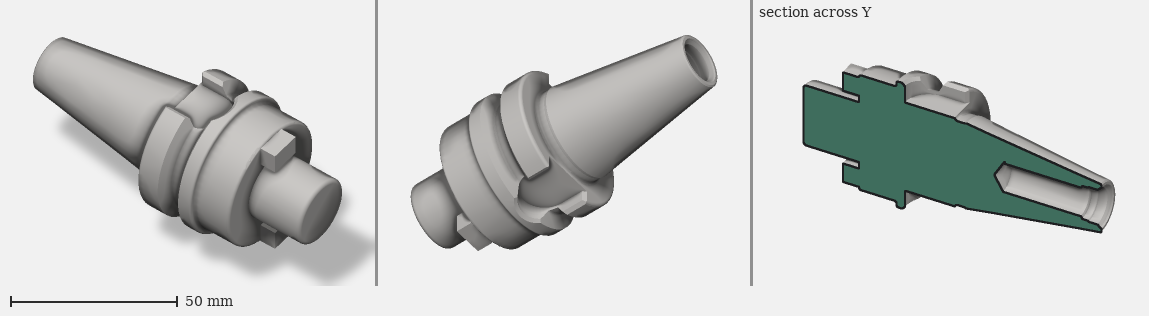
import cadquery as cq
import math

total_length = 102.4
gauge_x = 48.4
taper_end_x = 46.5
neck_start_x = 47.4
flange_front_x = 50.4
flange_back_x = 70.5
body_end_x = 83.4
key_end_x = 88.8

gauge_radius = 15.9
neck_radius = 15.4
flange_radius = 46.0 / 2
groove_radius = 18.9
body_radius = 21.0
pilot_radius = 22.0 / 2
taper_ratio = 7 / 24

groove_rim_front_x = 58.2
groove_rim_back_x = 65.8
groove_half_angle = math.radians(30)

tip_chamfer = 0.4
neck_fillet = 0.9
flange_front_fillet = 1.0
flange_back_fillet = 0.6
groove_fillet = 0.6
step_fillet = 0.8
body_fillet = 0.9
pilot_fillet = 1.2

slot_width = 16.3
slot_floor_z = 32.3 / 2
slot_tip_x = 67.5
slot_front_chamfer = 1.0
slot_rim_drop = 1.3
slot_rim_spread = 1.3
slot_tip_chamfer = 1.0
edge_tolerance = 0.1

key_width = 10.2
key_inner_z = 26.3 / 2
key_outer_z = 40.0 / 2

mouth_radius = 7.5
centre_radius = 7.2
centre_half_angle = math.radians(30)
bore_entry_radius = 6.2
bore_entry_end_x = 4.4
relief_radius = 5.9
relief_end_x = 6.7
thread_radius = 5.1
thread_end_x = 33.8
drill_half_angle = math.radians(59)


def taper_radius(x):
    return gauge_radius - (gauge_x - x) * taper_ratio / 2


def turned_body():
    """Taper, grooved flange, body and pilot as one solid of revolution about X."""
    groove_flank = (flange_radius - groove_radius) * math.tan(groove_half_angle)
    groove_front_x = groove_rim_front_x + groove_flank
    groove_back_x = groove_rim_back_x - groove_flank
    profile = [
        (0, 0),
        (0, taper_radius(0) - tip_chamfer),
        (tip_chamfer, taper_radius(tip_chamfer)),
        (taper_end_x, taper_radius(taper_end_x)),
        (neck_start_x, neck_radius),
        (flange_front_x, neck_radius),
        (flange_front_x, flange_radius),
        (groove_rim_front_x, flange_radius),
        (groove_front_x, groove_radius),
        (groove_back_x, groove_radius),
        (groove_rim_back_x, flange_radius),
        (flange_back_x, flange_radius),
        (flange_back_x, body_radius),
        (body_end_x, body_radius),
        (body_end_x, pilot_radius),
        (total_length, pilot_radius),
        (total_length, 0),
    ]
    rounded_corners = [
        (flange_front_x, neck_radius, neck_fillet),
        (flange_front_x, flange_radius, flange_front_fillet),
        (groove_front_x, groove_radius, groove_fillet),
        (groove_back_x, groove_radius, groove_fillet),
        (flange_back_x, flange_radius, flange_back_fillet),
        (flange_back_x, body_radius, step_fillet),
        (body_end_x, body_radius, body_fillet),
        (total_length, pilot_radius, pilot_fillet),
    ]
    outline = cq.Wire.makePolygon([cq.Vector(*point) for point in profile], close=True)
    face = cq.Face.makeFromWires(outline)
    for x, radius, fillet in rounded_corners:
        corner = min(face.Vertices(), key=lambda vertex: math.hypot(vertex.X - x, vertex.Y - radius))
        face = face.fillet2D(fillet, [corner])
    return cq.Workplane("XY").add(face.outerWire()).toPending().revolve(360, (0, 0, 0), (1, 0, 0))


def bore():
    """Stepped bore: centred mouth, plain entry, thread relief, then the drilled thread hole."""
    relief_start_x = bore_entry_end_x + bore_entry_radius - relief_radius
    thread_start_x = relief_end_x + (relief_radius - thread_radius) / math.tan(drill_half_angle)
    drill_tip_x = thread_end_x + thread_radius / math.tan(drill_half_angle)
    centre_end_x = (mouth_radius - centre_radius) / math.tan(centre_half_angle)
    profile = [
        (0, 0),
        (0, mouth_radius),
        (centre_end_x, centre_radius),
        (centre_end_x + centre_radius - bore_entry_radius, bore_entry_radius),
        (bore_entry_end_x, bore_entry_radius),
        (relief_start_x, relief_radius),
        (relief_end_x, relief_radius),
        (thread_start_x, thread_radius),
        (thread_end_x, thread_radius),
        (drill_tip_x, 0),
    ]
    return cq.Workplane("XY").polyline(profile).close().revolve(360, (0, 0, 0), (1, 0, 0))


def keyway():
    """Round-ended slot whose side walls flare out at the front face and at the rim."""
    half_width = slot_width / 2
    arc_x = slot_tip_x - half_width
    flare_x = flange_front_x + slot_front_chamfer
    flare_half_width = half_width + slot_front_chamfer
    slot = (
        cq.Workplane("XY", origin=(0, 0, slot_floor_z))
        .moveTo(flange_front_x, -flare_half_width)
        .lineTo(flare_x, -half_width)
        .lineTo(arc_x, -half_width)
        .threePointArc((slot_tip_x, 0), (arc_x, half_width))
        .lineTo(flare_x, half_width)
        .lineTo(flange_front_x, flare_half_width)
        .close()
        .extrude(flange_radius)
    )
    wall_top_z = math.sqrt(flange_radius**2 - half_width**2) - slot_rim_drop
    top_half_width = half_width + slot_rim_spread
    top_z = math.sqrt(flange_radius**2 - top_half_width**2)
    flare_height = flange_radius - wall_top_z
    flare_spread = flare_height * slot_rim_spread / (top_z - wall_top_z)
    rim_flare = (
        cq.Workplane("YZ", origin=(flange_front_x, 0, 0))
        .moveTo(-half_width, wall_top_z)
        .lineTo(half_width, wall_top_z)
        .lineTo(half_width + flare_spread, flange_radius)
        .lineTo(-half_width - flare_spread, flange_radius)
        .close()
        .extrude(arc_x - flange_front_x)
    )
    return slot.union(rim_flare)


def drive_key():
    length = key_end_x - body_end_x
    height = key_outer_z - key_inner_z
    key = cq.Workplane("XY").box(length, key_width, height, centered=(False, True, False))
    return key.translate((body_end_x, 0, key_inner_z))


def both_sides(shape):
    """The shape together with its mirror image below the X axis."""
    return shape.union(shape.mirror("XY"))


def chamfer_slot_tips(part):
    """Break the curved rim edge where each keyway ends in the rear part of the flange."""
    rear_flange = cq.selectors.BoxSelector(
        (groove_rim_back_x - edge_tolerance, -slot_width, -flange_radius - edge_tolerance),
        (slot_tip_x + edge_tolerance, slot_width, flange_radius + edge_tolerance),
        boundingbox=True,
    )
    rim_edges = part.edges(rear_flange).filter(lambda edge: abs(edge.Center().z) > slot_floor_z)
    return rim_edges.chamfer(slot_tip_chamfer)


part = turned_body().cut(bore()).cut(both_sides(keyway()))
part = chamfer_slot_tips(part)
result = part.union(both_sides(drive_key()))